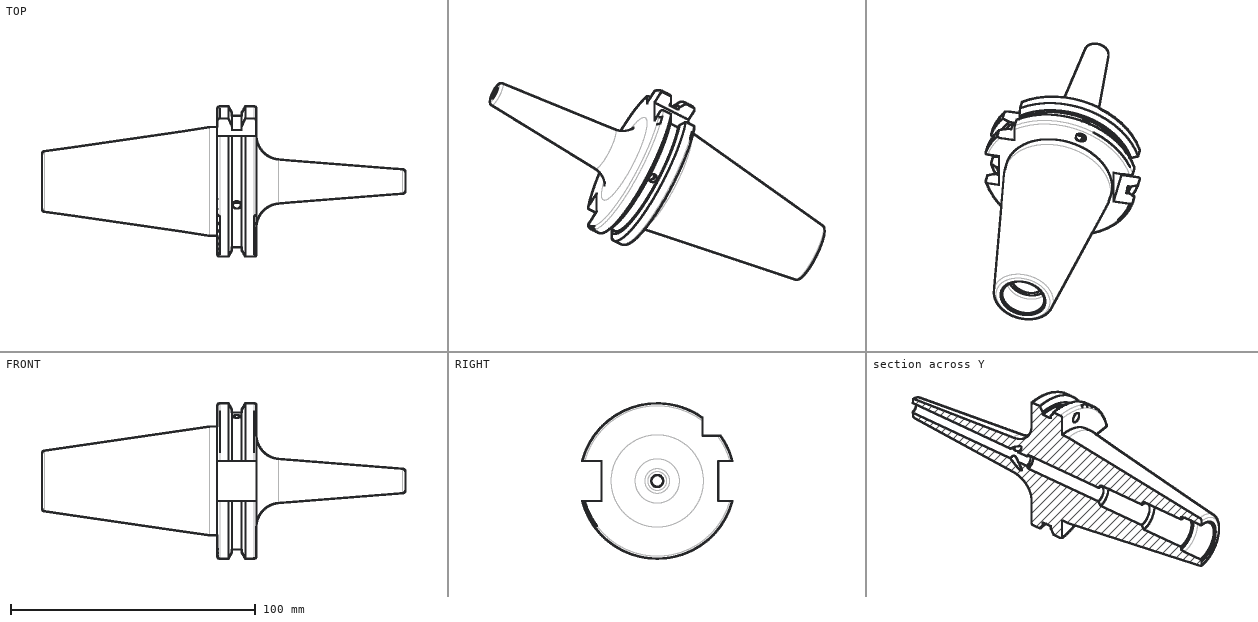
import cadquery as cq
import math

total_length = 148.4

gauge_x = 68.4
gauge_radius = 22.3
taper_ratio = 7 / 24
shank_round = 1.0

flange_start_x = 71.5
flange_end_x = 87.5
flange_radius = 31.8
flange_edge_round = 1.0

groove_center_x = 79.5
groove_floor_width = 4.0
groove_floor_radius = 28.0
groove_wall_radius = 29.2
groove_flank_angle = 30.0

slot_width = 16.2
slot_floor_plus_y = 25.0
slot_floor_minus_y = 22.9
notch_edge = 18.5

neck_start_x = 96.6
neck_radius = 9.0
nose_radius = 5.0
nose_round = 1.2

mouth_radius = 9.3
mouth_chamfer = 0.6
seat_depth = 8.9
pilot_radius = 8.3
pilot_depth = 10.7
thread_radius = 7.0
thread_depth = 29.7
middle_radius = 5.2
middle_depth = 52.0
long_radius = 3.4
long_depth = 89.0
through_radius = 2.4
drill_tip_angle = 59.0

passage_angle = 20.0
passage_count = 2
feed_radius = 2.1
feed_mouth_radius = 27.0
feed_tilt = 45.0
cross_radius = 1.6
cross_floor_radius = 16.3
plug_length = 5.0


def make_turned_body():
    """Shank, flange and neck turned as one profile."""
    small_radius = gauge_radius - gauge_x * taper_ratio / 2
    rounded_radius = small_radius + shank_round * taper_ratio / 2

    flank_run = (flange_radius - groove_wall_radius) * math.tan(math.radians(groove_flank_angle))
    floor_left = groove_center_x - groove_floor_width / 2
    floor_right = groove_center_x + groove_floor_width / 2

    nose_cone_end_x = total_length - nose_round
    cone_angle = math.atan2(neck_radius - nose_radius, nose_cone_end_x - neck_start_x)
    arc_radius = (neck_start_x - flange_end_x) / (1 - math.sin(cone_angle))
    arc_center_x = flange_end_x + arc_radius
    arc_center_r = neck_radius + arc_radius * math.cos(cone_angle)
    arc_start_angle = math.pi
    arc_end_angle = 1.5 * math.pi - cone_angle
    arc_middle_angle = (arc_start_angle + arc_end_angle) / 2
    arc_middle = (
        arc_center_x + arc_radius * math.cos(arc_middle_angle),
        arc_center_r + arc_radius * math.sin(arc_middle_angle),
    )

    profile = (
        cq.Workplane("XZ")
        .moveTo(0, 0)
        .lineTo(0, small_radius - shank_round)
        .tangentArcPoint((shank_round, rounded_radius), relative=False)
        .lineTo(gauge_x, gauge_radius)
        .lineTo(flange_start_x, gauge_radius)
        .lineTo(flange_start_x, flange_radius - flange_edge_round)
        .tangentArcPoint((flange_start_x + flange_edge_round, flange_radius), relative=False)
        .lineTo(floor_left - flank_run, flange_radius)
        .lineTo(floor_left, groove_wall_radius)
        .lineTo(floor_left, groove_floor_radius)
        .lineTo(floor_right, groove_floor_radius)
        .lineTo(floor_right, groove_wall_radius)
        .lineTo(floor_right + flank_run, flange_radius)
        .lineTo(flange_end_x - flange_edge_round, flange_radius)
        .tangentArcPoint((flange_end_x, flange_radius - flange_edge_round), relative=False)
        .lineTo(flange_end_x, arc_center_r)
        .threePointArc(arc_middle, (neck_start_x, neck_radius))
        .lineTo(nose_cone_end_x, nose_radius)
        .tangentArcPoint((total_length, nose_radius - nose_round), relative=False)
        .lineTo(total_length, 0)
        .close()
    )
    return profile.revolve(360, (0, 0, 0), (1, 0, 0))


def make_bore():
    """Stepped bore along the axis, drilled from the shank end."""
    seat_radius = mouth_radius - mouth_chamfer
    tip_slope = math.tan(math.radians(drill_tip_angle))
    profile = (
        cq.Workplane("XZ")
        .moveTo(0, 0)
        .lineTo(0, mouth_radius)
        .lineTo(mouth_chamfer, seat_radius)
        .lineTo(seat_depth, seat_radius)
        .lineTo(pilot_depth, pilot_radius)
        .lineTo(pilot_depth, thread_radius)
        .lineTo(thread_depth, thread_radius)
        .lineTo(thread_depth + (thread_radius - middle_radius) / tip_slope, middle_radius)
        .lineTo(middle_depth, middle_radius)
        .lineTo(middle_depth + (middle_radius - long_radius) / tip_slope, long_radius)
        .lineTo(long_depth, long_radius)
        .lineTo(long_depth + (long_radius - through_radius) / tip_slope, through_radius)
        .lineTo(total_length, through_radius)
        .lineTo(total_length, 0)
        .close()
    )
    return profile.revolve(360, (0, 0, 0), (1, 0, 0))


def flange_cutter(y_min, y_max, z_min, z_max):
    """Block that cuts through the whole flange width over a range of Y and Z."""
    flange_width = flange_end_x - flange_start_x
    block = cq.Workplane("XY").box(flange_width, y_max - y_min, z_max - z_min, centered=False)
    return block.translate((flange_start_x, y_min, z_min))


def place_passage(shape, index):
    """Turn a shape modelled above the axis to one of the evenly spaced passages."""
    return shape.rotate((0, 0, 0), (1, 0, 0), passage_angle + index * 360 / passage_count)


def make_feed_hole(index):
    """Slanted hole with a round mouth on the flange face, running down to the axis."""
    reach = feed_mouth_radius / math.tan(math.radians(feed_tilt))
    mouth_center = cq.Vector(flange_start_x, 0, feed_mouth_radius)
    mouth = cq.Wire.makeCircle(feed_radius, mouth_center, cq.Vector(1, 0, 0))
    hole = cq.Solid.extrudeLinear(mouth, [], cq.Vector(reach, 0, -feed_mouth_radius))
    return place_passage(cq.Workplane(hole), index)


def make_cross_cylinder(index, length):
    """Radial cylinder standing on the bottom of a cross hole."""
    bottom = cq.Vector(groove_center_x, 0, cross_floor_radius)
    post = cq.Solid.makeCylinder(cross_radius, length, bottom, cq.Vector(0, 0, 1))
    return place_passage(cq.Workplane(post), index)


def make_cross_hole(index):
    """Radial hole from the groove floor, cut clear of the curved floor surface."""
    return make_cross_cylinder(index, groove_wall_radius - cross_floor_radius)


def make_plug(index):
    """Plug that fills the bottom of a cross hole and closes the feed hole there."""
    return make_cross_cylinder(index, plug_length)


body = make_turned_body().cut(make_bore())
half_slot = slot_width / 2
body = body.cut(flange_cutter(slot_floor_plus_y, flange_radius, -half_slot, half_slot))
body = body.cut(flange_cutter(-flange_radius, -slot_floor_minus_y, -half_slot, half_slot))
body = body.cut(flange_cutter(notch_edge, flange_radius, notch_edge, flange_radius))

for index in range(passage_count):
    body = body.cut(make_feed_hole(index)).cut(make_cross_hole(index))

plugs = [make_plug(index).val() for index in range(passage_count)]

result = cq.Compound.makeCompound([body.val(), *plugs])